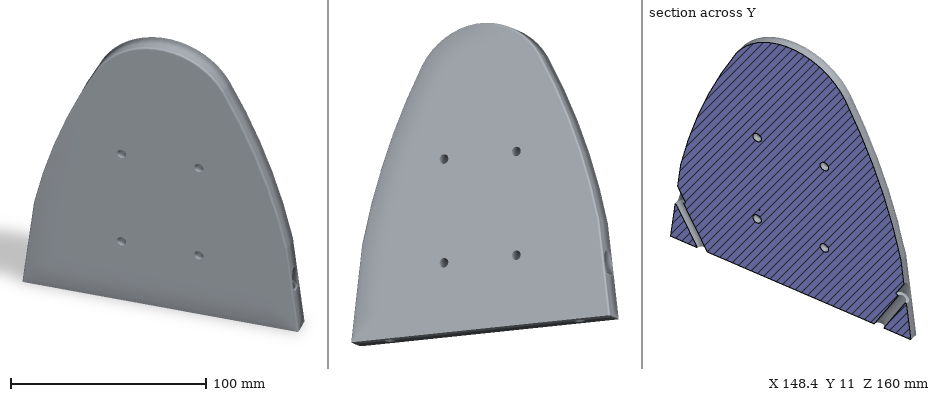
import cadquery as cq
import math

thickness = 11.0
height = 160
base_half_width = 74.2
waist_half_width = 68.0
waist_z = 50.5
flank_mid_half_width = 52.6
flank_mid_z = 101.1
shoulder_half_width = 33.8
shoulder_z = 140.8
edge_radius = 1.0

mount_diameter = 5.0
mount_spacing_x = 41.5
mount_low_z = 36.5
mount_spacing_z = 54.2

screw_angle = 60
screw_diameter = 5.0
head_diameter = 8.5
head_edge_z = 22.9
seat_edge_distance = 3.4
tool_length = 48


def make_plate():
    """Tapered outline with a round crown; all edges except the base rounded."""
    plate = (
        cq.Workplane("XZ")
        .moveTo(-base_half_width, 0)
        .lineTo(base_half_width, 0)
        .lineTo(waist_half_width, waist_z)
        .threePointArc((flank_mid_half_width, flank_mid_z), (shoulder_half_width, shoulder_z))
        .threePointArc((0, height), (-shoulder_half_width, shoulder_z))
        .threePointArc((-flank_mid_half_width, flank_mid_z), (-waist_half_width, waist_z))
        .close()
        .extrude(-thickness)
    )
    front_rim = plate.faces("<Y").edges("not <Z").vals()
    back_rim = plate.faces(">Y").edges("not <Z").vals()
    return plate.newObject(front_rim + back_rim).fillet(edge_radius)


def make_mount_holes():
    return (
        cq.Workplane("XZ", origin=(0, 0, mount_low_z + mount_spacing_z / 2))
        .rarray(mount_spacing_x, mount_spacing_z, 2, 2)
        .circle(mount_diameter / 2)
        .extrude(-thickness)
    )


def make_screw_hole(side):
    """Counterbored cutter on the left (side = -1) or right (side = 1) flank."""
    rise = math.sin(math.radians(screw_angle))
    run = math.cos(math.radians(screw_angle))
    flank_taper = (base_half_width - waist_half_width) / waist_z
    head_edge_x = base_half_width - flank_taper * head_edge_z
    seat_x = head_edge_x - seat_edge_distance * rise
    seat_z = head_edge_z + seat_edge_distance * run
    seat = cq.Plane(
        origin=(side * seat_x, thickness / 2, seat_z),
        xDir=(0, 1, 0),
        normal=(side * run, 0, rise),
    )
    head = cq.Workplane(seat).circle(head_diameter / 2).extrude(tool_length)
    shank = cq.Workplane(seat).circle(screw_diameter / 2).extrude(-tool_length)
    return head.union(shank)


result = make_plate().cut(make_mount_holes())
for side in (-1, 1):
    result = result.cut(make_screw_hole(side))